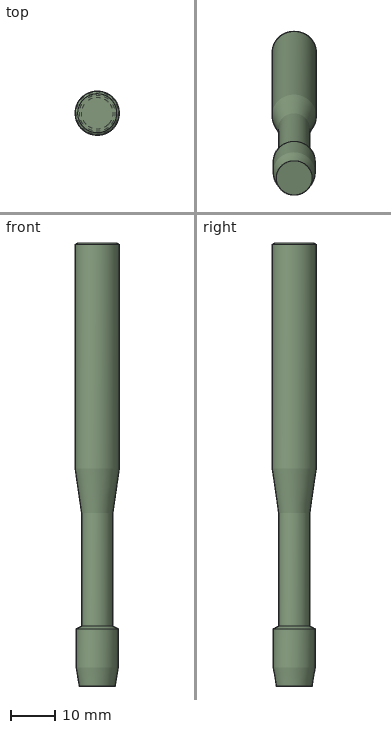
import cadquery as cq

TOTAL_LENGTH = 100.0

HEAD_DIAMETER = 9.5
TIP_DIAMETER = 8.1
LEAD_IN_LENGTH = 4.2
LAND_LENGTH = 8.8
BACK_CONE_LENGTH = 0.6

SHANK_DIAMETER = 10.0
NECK_DIAMETER = 7.1
NECK_LENGTH = 25.5
TAPER_LENGTH = 10.0
SHANK_CHAMFER_HEIGHT = 0.4
SHANK_CHAMFER_WIDTH = 0.6

LAND_BOTTOM = LEAD_IN_LENGTH
LAND_TOP = LAND_BOTTOM + LAND_LENGTH
HEAD_TOP = LAND_TOP + BACK_CONE_LENGTH
NECK_TOP = HEAD_TOP + NECK_LENGTH
TAPER_TOP = NECK_TOP + TAPER_LENGTH

HEAD_RADIUS = HEAD_DIAMETER / 2
TIP_RADIUS = TIP_DIAMETER / 2
NECK_RADIUS = NECK_DIAMETER / 2
SHANK_RADIUS = SHANK_DIAMETER / 2


def turned_body(outline):
    """Revolve a (radius, height) outline, listed from bottom to top, around Z."""
    bottom = outline[0][1]
    top = outline[-1][1]
    profile = [(0, bottom), *outline, (0, top)]
    return cq.Workplane("XZ").polyline(profile).close().revolve(360, (0, 0, 0), (0, 1, 0))


def make_head():
    """Tapered working head whose flat top face meets the neck."""
    return turned_body([
        (TIP_RADIUS, 0),
        (HEAD_RADIUS, LAND_BOTTOM),
        (HEAD_RADIUS, LAND_TOP),
        (NECK_RADIUS, HEAD_TOP),
    ])


def make_shank():
    """Neck, taper and gripping cylinder standing on the head."""
    return turned_body([
        (NECK_RADIUS, HEAD_TOP),
        (NECK_RADIUS, NECK_TOP),
        (SHANK_RADIUS, TAPER_TOP),
        (SHANK_RADIUS, TOTAL_LENGTH - SHANK_CHAMFER_HEIGHT),
        (SHANK_RADIUS - SHANK_CHAMFER_WIDTH, TOTAL_LENGTH),
    ])


head = make_head()
shank = make_shank()

result = cq.Compound.makeCompound([head.val(), shank.val()])